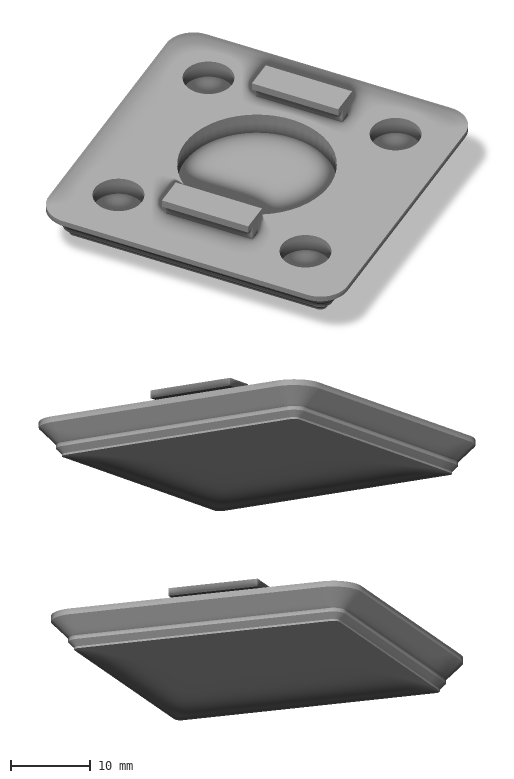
import cadquery as cq

plate_width = 41.5
corner_radius = 3.75
plate_height = 4.4
slope_angle = 45.0

bottom_band = 0.25
lower_slope = 0.75
middle_band = 0.5
upper_slope = 2.15

pocket_diameter = 20.0
pocket_depth = 2.9
magnet_diameter = 6.5
magnet_depth = 2.4

feature_offset = 13.0

rail_length = 12.0
rail_height = 3.0
head_width = 4.0
head_height = 1.0
stem_width = 1.5


def layer(inset, base, height, taper=0.0):
    """Rounded-square layer whose lower outline is set in from the plate edge."""
    width = plate_width - 2 * inset
    outline = cq.Sketch().rect(width, width).vertices().fillet(corner_radius - inset)
    return cq.Workplane("XY", origin=(0, 0, base)).placeSketch(outline).extrude(height, taper=taper)


def make_plate_blank():
    """Stack of upright bands joined by slopes that widen upwards."""
    middle_inset = upper_slope
    bottom_inset = middle_inset + lower_slope
    lower_slope_base = bottom_band
    middle_base = lower_slope_base + lower_slope
    upper_slope_base = middle_base + middle_band
    top_base = upper_slope_base + upper_slope

    blank = layer(bottom_inset, 0, bottom_band)
    blank = blank.union(layer(bottom_inset, lower_slope_base, lower_slope, -slope_angle))
    blank = blank.union(layer(middle_inset, middle_base, middle_band))
    blank = blank.union(layer(middle_inset, upper_slope_base, upper_slope, -slope_angle))
    return blank.union(layer(0, top_base, plate_height - top_base))


def make_rail(y_position):
    """T-section rail that runs along X."""
    stem_height = rail_height - head_height
    centred = (True, True, False)
    stem = cq.Workplane("XY").box(rail_length, stem_width, stem_height, centered=centred)
    head = cq.Workplane("XY", origin=(0, 0, stem_height)).box(
        rail_length, head_width, head_height, centered=centred
    )
    return stem.union(head).translate((0, y_position, plate_height))


def make_plate():
    """Plate with a centre pocket, four magnet pockets and two fixed rails."""
    plate = make_plate_blank()
    plate = plate.faces(">Z").workplane(origin=(0, 0, plate_height)).hole(pocket_diameter, pocket_depth)
    plate = (
        plate.faces(">Z")
        .workplane(origin=(0, 0, plate_height))
        .rect(2 * feature_offset, 2 * feature_offset, forConstruction=True)
        .vertices()
        .hole(magnet_diameter, magnet_depth)
    )
    for side in (-1, 1):
        plate = plate.union(make_rail(side * feature_offset))
    return plate


plate = make_plate()

result = cq.Compound.makeCompound([plate.val()])